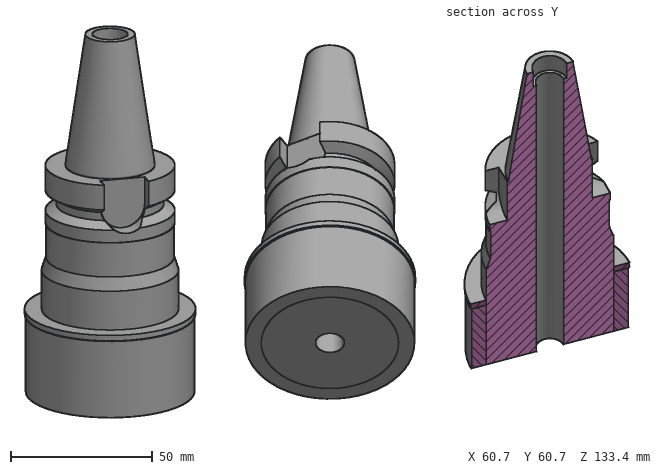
import cadquery as cq
import math

nut_diameter = 60.0
nut_height = 28.5
ring_diameter = 60.7
ring_height = 2.4
ring_chamfer = (ring_diameter - nut_diameter) / 2

shank_diameter = 48.7
shank_top = 45.4
cone_top = 50.2
upper_shank_diameter = 45.5
collar_bottom = 63.0

flange_diameter = 46.0
flange_top = 84.5
groove_center = 71.5
groove_diameter = 38.2
groove_floor_width = 3.0
groove_flank_angle = 30.0

gauge_diameter = 31.75
gauge_height = 85.0
taper_length = 48.4
taper_ratio = 7 / 24

bore_diameter = 10.2
counterbore_diameter = 12.6
counterbore_depth = 6.9

slot_width = 16.3
slot_floor_distance = 16.3
slot_bottom = 66.3

holder_top = gauge_height + taper_length
tip_diameter = gauge_diameter - taper_length * taper_ratio
groove_depth = (flange_diameter - groove_diameter) / 2
groove_floor_half = groove_floor_width / 2
groove_mouth_half = groove_floor_half + groove_depth * math.tan(math.radians(groove_flank_angle))


def make_holder_blank():
    """Revolve the outer profile, given as radius and height from the bottom up."""
    profile = [
        (0, 0),
        (shank_diameter / 2, 0),
        (shank_diameter / 2, shank_top),
        (upper_shank_diameter / 2, cone_top),
        (upper_shank_diameter / 2, collar_bottom),
        (flange_diameter / 2, collar_bottom),
        (flange_diameter / 2, groove_center - groove_mouth_half),
        (groove_diameter / 2, groove_center - groove_floor_half),
        (groove_diameter / 2, groove_center + groove_floor_half),
        (flange_diameter / 2, groove_center + groove_mouth_half),
        (flange_diameter / 2, flange_top),
        (gauge_diameter / 2, flange_top),
        (gauge_diameter / 2, gauge_height),
        (tip_diameter / 2, holder_top),
        (0, holder_top),
    ]
    return cq.Workplane("XZ").polyline(profile).close().revolve(360, (0, 0), (0, 1))


def make_bore():
    """Through bore with a wider counterbore at the taper tip."""
    bore = cq.Workplane("XY").circle(bore_diameter / 2).extrude(holder_top)
    counterbore = (
        cq.Workplane("XY")
        .workplane(offset=holder_top - counterbore_depth)
        .circle(counterbore_diameter / 2)
        .extrude(counterbore_depth)
    )
    return bore.union(counterbore)


def make_drive_slot(side):
    """Round-bottomed slot, open upwards and outwards, on the +X (1) or -X (-1) side."""
    half_width = slot_width / 2
    arc_center = slot_bottom + half_width
    slot_depth = flange_diameter / 2 - slot_floor_distance
    return (
        cq.Workplane("YZ", origin=(side * slot_floor_distance, 0, 0))
        .moveTo(-half_width, flange_top)
        .lineTo(-half_width, arc_center)
        .threePointArc((0, slot_bottom), (half_width, arc_center))
        .lineTo(half_width, flange_top)
        .close()
        .extrude(side * slot_depth)
    )


def make_holder():
    holder = make_holder_blank().cut(make_bore())
    for side in (-1, 1):
        holder = holder.cut(make_drive_slot(side))
    return holder


def make_collar(diameter, bottom, height):
    """Cylinder with a hole that fits around the shank."""
    return (
        cq.Workplane("XY")
        .workplane(offset=bottom)
        .circle(diameter / 2)
        .circle(shank_diameter / 2)
        .extrude(height)
    )


def make_nut():
    return make_collar(nut_diameter, 0, nut_height)


def make_retaining_ring():
    """Ring on top of the nut, its lower rim chamfered down to the nut diameter."""
    ring = make_collar(ring_diameter, nut_height, ring_height)
    return ring.faces("<Z").edges(cq.selectors.RadiusNthSelector(-1)).chamfer(ring_chamfer)


holder = make_holder()
nut = make_nut()
retaining_ring = make_retaining_ring()

result = cq.Compound.makeCompound([holder.val(), nut.val(), retaining_ring.val()])